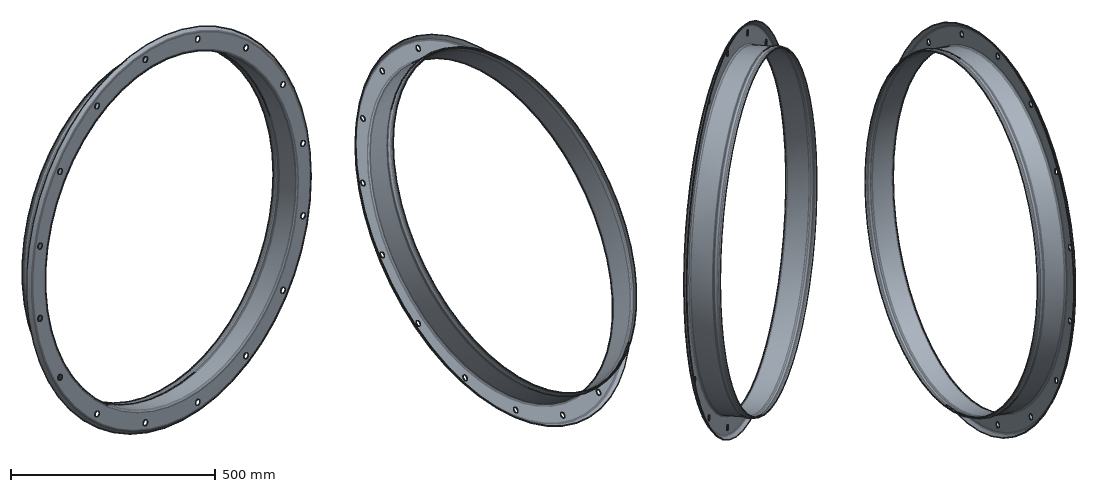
import cadquery as cq
import math

length = 80.0
outer_radius = 515.0
sheet = 2.0
bend_radius = 4.0

collar_radius = 455.0
bead_centre = 12.0
bead_height = 3.0
bead_half_width = 7.7

lip_reach = 11.0
lip_angle = 45

hole_count = 16
hole_circle_radius = 485.0
hole_diameter = 15.0

bead_angle = 2 * math.degrees(math.atan(bead_height / bead_half_width))
bead_radius = bead_half_width / (2 * math.sin(math.radians(bead_angle)))

lip_rad = math.radians(lip_angle)
half_sheet = sheet / 2
mid_collar_radius = collar_radius - half_sheet
rim_length = bead_centre - bead_half_width
collar_length = length - half_sheet - bend_radius - bead_centre - bead_half_width
lip_travel = lip_reach - half_sheet - half_sheet * math.cos(lip_rad)
lip_length = (lip_travel - bend_radius * (1 - math.cos(lip_rad))) / math.sin(lip_rad)
lip_end_radius = outer_radius - half_sheet * math.sin(lip_rad)
lip_root_radius = lip_end_radius - lip_length * math.cos(lip_rad) - bend_radius * math.sin(lip_rad)
flange_length = lip_root_radius - mid_collar_radius - bend_radius

sheet_steps = [
    (rim_length, bead_radius, bead_angle),
    (0, bead_radius, -2 * bead_angle),
    (0, bead_radius, bead_angle),
    (collar_length, bend_radius, 90),
    (flange_length, bend_radius, lip_angle),
]


def shifted(point, heading, distance):
    """Move a point along a heading given in degrees from +X."""
    angle = math.radians(heading)
    return (point[0] + distance * math.cos(angle), point[1] + distance * math.sin(angle))


def sheet_face_edges(offset):
    """Lines and arcs of the sheet face lying this far to the left of mid-thickness."""
    edges = []
    point = (0, mid_collar_radius + offset)
    heading = 0
    for straight, radius, turn in sheet_steps:
        if straight > 0:
            bend_start = shifted(point, heading, straight)
            edges.append(cq.Edge.makeLine(cq.Vector(*point), cq.Vector(*bend_start)))
            point = bend_start
        side = math.copysign(90, turn)
        face_radius = radius - math.copysign(1, turn) * offset
        centre = shifted(point, heading + side, face_radius)
        middle = shifted(centre, heading + turn / 2 - side, face_radius)
        end = shifted(centre, heading + turn - side, face_radius)
        edges.append(cq.Edge.makeThreePointArc(cq.Vector(*point), cq.Vector(*middle), cq.Vector(*end)))
        point = end
        heading += turn
    lip_end = shifted(point, heading, lip_length)
    edges.append(cq.Edge.makeLine(cq.Vector(*point), cq.Vector(*lip_end)))
    return edges


def make_ring():
    outside = sheet_face_edges(half_sheet)
    bore = sheet_face_edges(-half_sheet)
    rim = cq.Edge.makeLine(bore[0].startPoint(), outside[0].startPoint())
    lip_edge = cq.Edge.makeLine(bore[-1].endPoint(), outside[-1].endPoint())
    section = cq.Wire.assembleEdges(bore + [lip_edge] + outside[::-1] + [rim])
    axis_start = cq.Vector(0, 0, 0)
    axis_end = cq.Vector(1, 0, 0)
    return cq.Workplane(cq.Solid.revolve(section, [], 360, axis_start, axis_end))


def make_bolt_holes():
    """Holes spaced evenly, straddling the Y and Z axes."""
    first_angle = 180 / hole_count
    return (
        cq.Workplane("YZ")
        .polarArray(hole_circle_radius, first_angle, 360, hole_count)
        .circle(hole_diameter / 2)
        .extrude(length)
    )


result = make_ring().cut(make_bolt_holes())